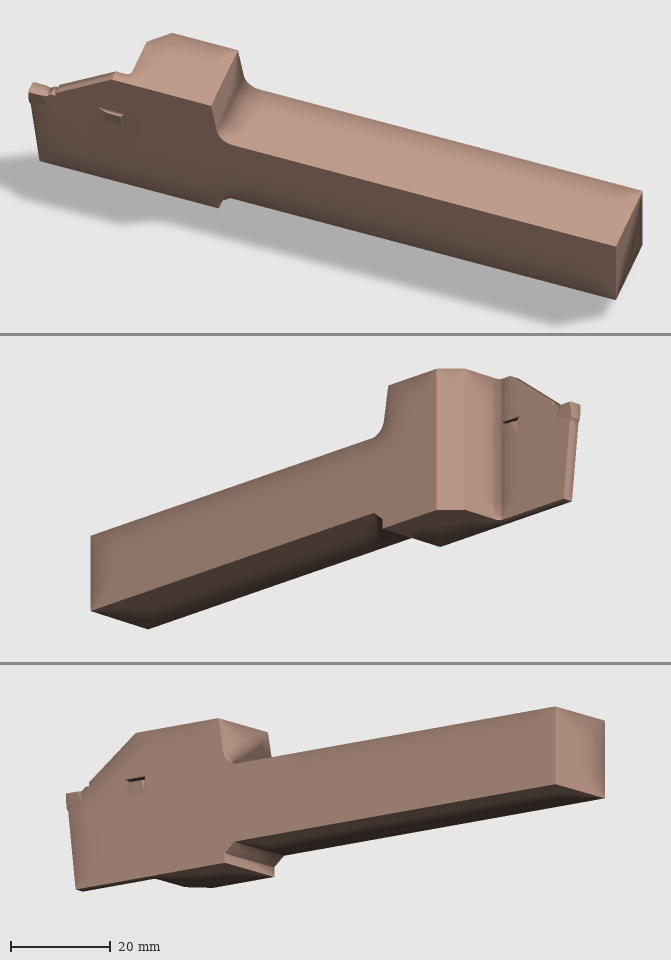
import cadquery as cq

length = 125.0
shank_size = 16.0
shank_bottom = 4.0
shank_top = shank_bottom + shank_size
head_top = 30.0
head_bottom_front_x = 2.4
head_bottom_rear_x = 40.5
head_top_front_x = 17.8
head_top_rear_x = 38.9
head_rear_foot_x = 40.6
head_rear_radius = 3.5
lower_step_height = 2.0
lower_ramp_end_x = 43.0
clamp_nose_x = 5.8
clamp_nose_height = 0.8
blade_thickness = 2.4
shoulder_x = 20.9
shoulder_chamfer = 4.0
shoulder_radius = 1.0

insert_length = 19.9
insert_bottom = 16.2
insert_edge_height = shank_top
ridge_top = 20.8
ridge_foot_x = 4.0
ridge_edge_x = 4.9
relief_bottom = 16.9
relief_x = 0.1
insert_bottom_x = 0.5
cutting_overhang = 0.31
back_taper = 0.06
cutting_land = 2.6
corner_break = 0.2
pocket_end_x = 20.1

blade_middle = blade_thickness / 2


def extrude_side(points, start_y, end_y):
    """Prism along Y from a closed XZ outline."""
    plane = cq.Workplane("XZ", origin=(0, start_y, 0))
    return plane.polyline(points).close().extrude(start_y - end_y)


def insert_end(direction):
    """XZ points of one insert end, from its lower to its upper corner."""
    distances = [
        (insert_bottom_x, insert_bottom),
        (relief_x, relief_bottom),
        (0, insert_edge_height),
    ]
    start = 0 if direction > 0 else insert_length
    return [(start + direction * distance, z) for distance, z in distances]


def insert_profile():
    top = [
        (ridge_foot_x, insert_edge_height),
        (ridge_edge_x, ridge_top),
        (insert_length - ridge_edge_x, ridge_top),
        (insert_length - ridge_foot_x, insert_edge_height),
    ]
    return insert_end(1) + top + insert_end(-1)[::-1]


def make_pocket():
    """Through opening for the insert, with a clearance above its rear head."""
    rear = insert_end(-1)
    points = [
        (0, insert_bottom),
        *rear,
        (pocket_end_x, insert_edge_height),
        (pocket_end_x, ridge_top),
        (0, ridge_top),
    ]
    return extrude_side(points, 0, shank_size)


def make_holder():
    points = [
        (head_bottom_front_x, 0),
        (head_bottom_rear_x, 0),
        (head_bottom_rear_x, lower_step_height),
        (lower_ramp_end_x, shank_bottom),
        (length, shank_bottom),
        (length, shank_top),
        (head_rear_foot_x, shank_top),
        (head_top_rear_x, head_top),
        (head_top_front_x, head_top),
        (clamp_nose_x, ridge_top + clamp_nose_height),
        (clamp_nose_x, ridge_top),
        (insert_bottom_x, ridge_top),
        (insert_bottom_x, insert_bottom),
    ]
    body = extrude_side(points, 0, shank_size)
    rear_foot = cq.selectors.NearestToPointSelector((head_rear_foot_x, shank_size / 2, shank_top))
    body = body.edges("|Y").edges(rear_foot).fillet(head_rear_radius)

    plan = (
        cq.Workplane("XY")
        .lineTo(length, 0)
        .lineTo(length, shank_size)
        .lineTo(shoulder_x + shoulder_chamfer, shank_size)
        .lineTo(shoulder_x, shank_size - shoulder_chamfer)
        .lineTo(shoulder_x, blade_thickness + shoulder_radius)
        .tangentArcPoint((shoulder_x - shoulder_radius, blade_thickness), relative=False)
        .lineTo(0, blade_thickness)
        .close()
        .extrude(head_top)
    )
    return body.intersect(plan).cut(make_pocket())


def head_section(x, half_width):
    """Cutting head section at x, narrowing to the bar width at the relief."""
    drop = insert_edge_height - relief_bottom
    lower_half_width = half_width - cutting_overhang
    points = [
        (blade_middle - lower_half_width, insert_edge_height - drop),
        (blade_middle + lower_half_width, insert_edge_height - drop),
        (blade_middle + half_width, insert_edge_height),
        (blade_middle - half_width, insert_edge_height),
    ]
    return cq.Wire.makePolygon([cq.Vector(x, y, z) for y, z in points], close=True)


def make_cutting_head():
    """Wider head at the front end, tapered downward and toward the bar."""
    half_width = blade_middle + cutting_overhang
    sections = [head_section(0, half_width), head_section(ridge_foot_x, half_width - back_taper)]
    tapered = cq.Workplane(cq.Solid.makeLoft(sections, True))
    near_side = [
        (0, corner_break - half_width),
        (corner_break, -half_width),
        (cutting_land, -half_width),
        (ridge_foot_x, -blade_middle),
    ]
    far_side = [(x, -y) for x, y in reversed(near_side)]
    plan = (
        cq.Workplane("XY", origin=(0, blade_middle, 0))
        .polyline(near_side + far_side)
        .close()
        .extrude(head_top)
    )
    return tapered.intersect(plan)


def make_insert():
    bar = extrude_side(insert_profile(), 0, blade_thickness)
    front_head = make_cutting_head()
    rear_head = front_head.mirror("YZ", (insert_length / 2, 0, 0))
    envelope = extrude_side(insert_profile(), -cutting_overhang, blade_thickness + cutting_overhang)
    heads = front_head.union(rear_head).intersect(envelope)
    return bar.union(heads)


holder = make_holder()
cutting_insert = make_insert()

result = cq.Compound.makeCompound([*holder.solids().vals(), *cutting_insert.solids().vals()])